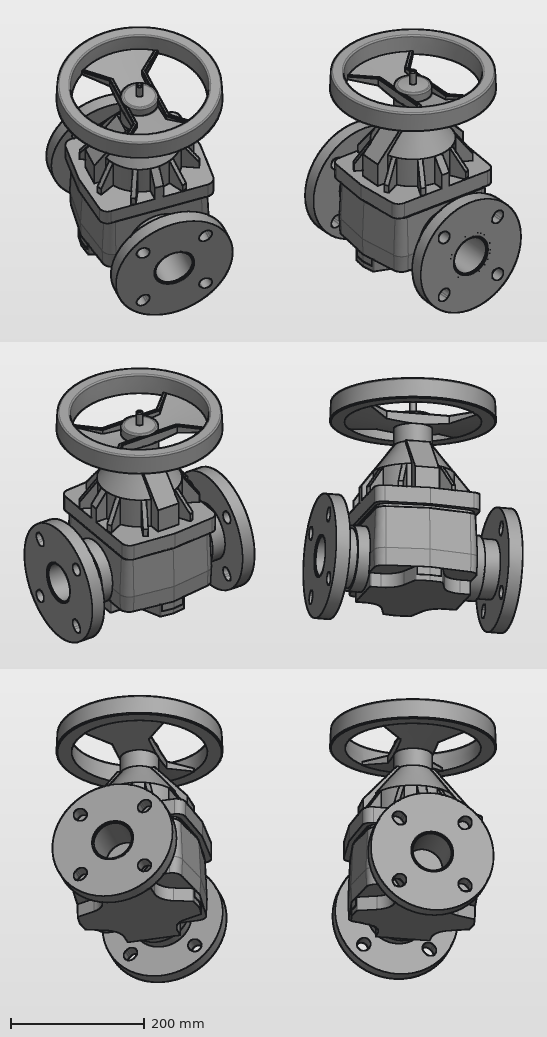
import cadquery as cq
import math


overall_height = 348.5

face_x = 145.0
bore_d = 59.0
bore_end_x = 76.7
spigot_d = 75.0
collar_d = 99.5
collar_end_x = 98.5
flange_d = 188.0
flange_t = 21.5
flange_hub_d = 90.5
flange_bore_d = 64.0
flange_lip = 2.0
bolt_slot_w = 19.0
bolt_circle_min = 138.8
bolt_circle_max = 145.0
bolt_count = 4

body_half_x = 80.5
body_corner_y = 84.0
body_apex_y = 95.2
body_corner_r = 16.7
parting_z = -5.2
block_top_z = 60.0
block_bottom_z = -33.0
draft = 2.5

foot_bottom_z = -54.7
foot_half_x = 78.0
foot_corner_y = 82.3
foot_apex_y = 93.5
foot_corner_r = 14.0
foot_edge_r = 1.0
panel_w = 37.3
panel_bottom_z = -45.5
panel_proud = 0.7
scallop_r = 32.0
scallop_x = 61.7
scallop_y = 73.2
arm_slant = 20.0

rim_half_x = 76.7
rim_corner_y = 81.5
rim_apex_y = 90.0
rim_corner_r = 17.5

plate_bottom_z = 64.5
plate_top_z = 90.0
plate_half_x = 82.0
plate_corner_y = 90.5
plate_apex_y = 98.0
plate_corner_r = 14.0
cone_bottom_z = 137.5
cone_top_z = 183.5
cone_bottom_r = 63.8
neck_d = 58.2
neck_top_z = 210.5
rib_t = 7.5
rib_reach = 90.3
rib_angles = (27.0, 63.0)
end_rib_t = 14.0
side_block_w = 37.0
side_block_reach = 80.0
side_block_shoulder_z = 127.5

wheel_bottom_z = 221.7
wheel_top_z = 253.8
wheel_bottom_d = 249.5
wheel_top_d = 247.0
wheel_inner_bottom_d = 203.5
wheel_inner_top_d = 208.5
wheel_round = 2.5
wheel_bottom_chamfer = 1.7
dish_slope = 0.15
web_t = 5.2
spoke_rib_t = 5.5
spoke_rib_top_z = 227.3
spoke_rib_chamfer = 1.0
spoke_embed = 1.0
spoke_half_y = 28.5
spoke_kink_x = 48.8
wheel_hub_d = 56.0
wheel_hub_top_z = 230.8
wheel_hub_round = 2.0
cap_d = 47.0
cap_slope = 0.1
pin_d = 10.0
pin_top_z = overall_height - flange_d / 2
pin_chamfer = 2.0


def x_cylinder(diameter, start_x, end_x):
    """Cylinder on the pipe axis from start_x to end_x."""
    return cq.Workplane("YZ", origin=(start_x, 0, 0)).circle(diameter / 2).extrude(end_x - start_x)


def pointed_block(half_x, corner_y, apex_y, corner_r, start_z, height, taper=0.0):
    """Block with rounded corners whose +Y and -Y sides rise to a shallow point in the middle."""
    slope = math.atan((apex_y - corner_y) / half_x)
    tangent = corner_r * math.tan((math.pi / 2 - slope) / 2)
    middle = cq.Vector(half_x - corner_r, corner_y - tangent)
    flank = middle + cq.Vector(math.sin(slope), math.cos(slope)) * corner_r
    bisector = math.pi / 4 - slope / 2
    crown = middle + cq.Vector(math.sin(bisector), math.cos(bisector)) * corner_r
    return (
        cq.Workplane("XY", origin=(0, 0, start_z))
        .moveTo(half_x, -middle.y)
        .lineTo(half_x, middle.y)
        .threePointArc((crown.x, crown.y), (flank.x, flank.y))
        .lineTo(0, apex_y)
        .lineTo(-flank.x, flank.y)
        .threePointArc((-crown.x, crown.y), (-half_x, middle.y))
        .lineTo(-half_x, -middle.y)
        .threePointArc((-crown.x, -crown.y), (-flank.x, -flank.y))
        .lineTo(0, -apex_y)
        .lineTo(flank.x, -flank.y)
        .threePointArc((crown.x, -crown.y), (half_x, -middle.y))
        .close()
        .extrude(height, taper=taper)
    )


def foot_scallop(side_x, side_y):
    """Corner cut that leaves the foot as a cross with concave inner corners."""
    slant = math.radians(arm_slant)
    half_way = (math.pi / 2 + slant) / 2
    wall_x = scallop_x - scallop_r * math.cos(slant)
    wall_y = scallop_y - scallop_r * math.sin(slant)
    outside = foot_apex_y + 7
    outside_x = wall_x - (outside - wall_y) * math.tan(slant)
    inner_y = scallop_y - scallop_r
    return (
        cq.Workplane("XY", origin=(0, 0, foot_bottom_z))
        .moveTo(side_x * outside, side_y * inner_y)
        .lineTo(side_x * scallop_x, side_y * inner_y)
        .threePointArc(
            (
                side_x * (scallop_x - scallop_r * math.cos(half_way)),
                side_y * (scallop_y - scallop_r * math.sin(half_way)),
            ),
            (side_x * wall_x, side_y * wall_y),
        )
        .lineTo(side_x * outside_x, side_y * outside)
        .lineTo(side_x * outside, side_y * outside)
        .close()
        .extrude(block_bottom_z - foot_bottom_z)
    )


def is_arm_corner(edge):
    """True for the upright edges where the end of a foot arm meets the sides of the arm."""
    place = edge.Center()
    on_x_arm = abs(place.x) > foot_half_x - foot_edge_r
    on_y_arm = abs(place.y) > foot_corner_y and abs(place.x) > foot_edge_r
    return on_x_arm or on_y_arm


def make_foot():
    """Cross-shaped foot with a raised panel on the end of each arm."""
    height = block_bottom_z - foot_bottom_z
    foot = pointed_block(foot_half_x, foot_corner_y, foot_apex_y, foot_corner_r, foot_bottom_z, height)
    for side_x in (-1, 1):
        for side_y in (-1, 1):
            foot = foot.cut(foot_scallop(side_x, side_y))
    foot = foot.edges("|Z").filter(is_arm_corner).fillet(foot_edge_r)

    panel_height = block_bottom_z - panel_bottom_z
    panels = pointed_block(
        foot_half_x + panel_proud,
        foot_corner_y + panel_proud,
        foot_apex_y + panel_proud,
        foot_corner_r,
        panel_bottom_z,
        panel_height,
    )
    length = 3 * foot_apex_y
    strips = cq.Workplane("XY", origin=(0, 0, panel_bottom_z)).rect(panel_w, length).extrude(panel_height)
    strips = strips.union(strips.rotate((0, 0, 0), (0, 0, 1), 90))
    return foot.union(panels.intersect(strips))


def make_body():
    """Drafted valve block with its foot, rim, pipe collars, spigots and blind bores."""
    outline = (body_half_x, body_corner_y, body_apex_y, body_corner_r, parting_z)
    body = pointed_block(*outline, block_top_z - parting_z, draft)
    body = body.union(pointed_block(*outline, block_bottom_z - parting_z, draft))
    body = body.union(make_foot())
    rim_height = plate_bottom_z - block_top_z
    body = body.union(
        pointed_block(rim_half_x, rim_corner_y, rim_apex_y, rim_corner_r, block_top_z, rim_height)
    )
    spigot_end_x = face_x - flange_lip
    body = body.union(x_cylinder(collar_d, -collar_end_x, collar_end_x))
    body = body.union(x_cylinder(spigot_d, -spigot_end_x, spigot_end_x))
    for side in (-1, 1):
        body = body.cut(x_cylinder(bore_d, side * bore_end_x, side * face_x))
    return body


def bolt_slot(angle):
    """Radial slot through the flange plate that serves two bolt circles."""
    length = (bolt_circle_max - bolt_circle_min) / 2 + bolt_slot_w
    return (
        cq.Workplane("YZ", origin=(face_x - flange_t, 0, 0))
        .transformed(rotate=(0, 0, angle))
        .center((bolt_circle_max + bolt_circle_min) / 4, 0)
        .slot2D(length, bolt_slot_w)
        .extrude(flange_t)
    )


def make_flange(turn):
    """Flange with a socket hub, turned about the stem axis to its end of the pipe."""
    flange = x_cylinder(flange_d, face_x - flange_t, face_x)
    flange = flange.union(x_cylinder(flange_hub_d, collar_end_x, face_x))
    flange = flange.cut(x_cylinder(spigot_d, collar_end_x, face_x - flange_lip))
    flange = flange.cut(x_cylinder(flange_bore_d, collar_end_x, face_x))
    for index in range(bolt_count):
        flange = flange.cut(bolt_slot(45 + index * 360 / bolt_count))
    return flange.rotate((0, 0, 0), (0, 0, 1), turn)


def bonnet_rib(top_r, top_z, reach, shoulder_z, thickness, angle):
    """Radial rib that slopes from the tower at (top_r, top_z) down to a vertical outer end."""
    return (
        cq.Workplane("XZ", origin=(0, thickness / 2, 0))
        .moveTo(0, plate_top_z)
        .lineTo(reach, plate_top_z)
        .lineTo(reach, shoulder_z)
        .lineTo(top_r, top_z)
        .lineTo(0, top_z)
        .close()
        .extrude(thickness)
        .rotate((0, 0, 0), (0, 0, 1), angle)
    )


def make_bonnet():
    """Cover plate with a conical tower, two wide side blocks and radial ribs."""
    bonnet = pointed_block(
        plate_half_x,
        plate_corner_y,
        plate_apex_y,
        plate_corner_r,
        plate_bottom_z,
        plate_top_z - plate_bottom_z,
    )
    tower = (
        cq.Workplane("XZ")
        .moveTo(0, plate_top_z)
        .lineTo(cone_bottom_r, plate_top_z)
        .lineTo(cone_bottom_r, cone_bottom_z)
        .lineTo(neck_d / 2, cone_top_z)
        .lineTo(neck_d / 2, neck_top_z)
        .lineTo(0, neck_top_z)
        .close()
        .revolve(360, (0, 0, 0), (0, 1, 0))
    )
    bonnet = bonnet.union(tower)
    cone_head = (neck_d / 2, cone_top_z)
    cone_foot = (cone_bottom_r, cone_bottom_z)
    cone_fall = (cone_top_z - cone_bottom_z) / (cone_bottom_r - neck_d / 2)
    end_rib_shoulder_z = cone_top_z - cone_fall * (plate_half_x - neck_d / 2)
    rib_shoulder_z = cone_top_z - cone_fall * (rib_reach - neck_d / 2)
    for turn in (0, 180):
        bonnet = bonnet.union(bonnet_rib(*cone_foot, plate_half_x, end_rib_shoulder_z, end_rib_t, turn))
        bonnet = bonnet.union(
            bonnet_rib(*cone_head, side_block_reach, side_block_shoulder_z, side_block_w, turn + 90)
        )
        for angle in rib_angles:
            for mirrored in (angle, -angle):
                rib = bonnet_rib(*cone_foot, rib_reach, rib_shoulder_z, rib_t, turn + mirrored)
                bonnet = bonnet.union(rib)
    return bonnet


def dish_z(radius):
    """Height of the underside of the dished web."""
    return neck_top_z + dish_slope * max(0.0, radius - neck_d / 2)


def spoke_prism(inset, start_z, end_z, taper=0.0):
    """Hourglass prism: straight past the hub, then opening at 45 degrees towards the wheel rim."""
    half_y = spoke_half_y - inset
    kink_x = spoke_kink_x + inset * math.tan(math.pi / 8)
    end_x = wheel_bottom_d / 2
    end_y = half_y + end_x - kink_x
    right_side = [(end_x, -end_y), (end_x, end_y), (kink_x, half_y)]
    left_side = [(-x, -y) for x, y in right_side]
    outline = [(kink_x, -half_y), *right_side, (-kink_x, half_y), *left_side]
    base = cq.Workplane("XY", origin=(0, 0, start_z))
    return base.polyline(outline).close().extrude(end_z - start_z, taper=taper)


def make_spokes():
    """Two dished webs, each edged by ribs whose tops lie in one plane."""
    edge_r = wheel_inner_bottom_d / 2 + spoke_embed
    flat_r = neck_d / 2
    slab = (
        cq.Workplane("XZ")
        .moveTo(0, neck_top_z)
        .lineTo(flat_r, neck_top_z)
        .lineTo(edge_r, dish_z(edge_r))
        .lineTo(edge_r, spoke_rib_top_z)
        .lineTo(0, spoke_rib_top_z)
        .close()
        .revolve(360, (0, 0, 0), (0, 1, 0))
    )
    hollow = (
        cq.Workplane("XZ")
        .moveTo(0, neck_top_z + web_t)
        .lineTo(flat_r, neck_top_z + web_t)
        .lineTo(edge_r, dish_z(edge_r) + web_t)
        .lineTo(edge_r, wheel_top_z)
        .lineTo(0, wheel_top_z)
        .close()
        .revolve(360, (0, 0, 0), (0, 1, 0))
    )
    outside = spoke_prism(0, neck_top_z, spoke_rib_top_z).faces(">Z").chamfer(spoke_rib_chamfer)
    inside = spoke_prism(spoke_rib_t, neck_top_z, spoke_rib_top_z)
    flare = spoke_prism(spoke_rib_t, spoke_rib_top_z - spoke_rib_chamfer, spoke_rib_top_z, -45)
    spokes = slab.intersect(outside)
    return spokes.cut(hollow.intersect(inside)).cut(hollow.intersect(flare))


def make_wheel():
    """Handwheel with its spokes, hub, shallow conical cap and indicator pin."""
    rim = (
        cq.Workplane("XZ")
        .moveTo(wheel_inner_bottom_d / 2, wheel_bottom_z)
        .lineTo(wheel_bottom_d / 2 - wheel_bottom_chamfer, wheel_bottom_z)
        .lineTo(wheel_bottom_d / 2, wheel_bottom_z + wheel_bottom_chamfer)
        .lineTo(wheel_top_d / 2, wheel_top_z)
        .lineTo(wheel_inner_top_d / 2, wheel_top_z)
        .close()
        .revolve(360, (0, 0, 0), (0, 1, 0))
        .faces(">Z")
        .edges()
        .fillet(wheel_round)
    )
    hub = (
        cq.Workplane("XY", origin=(0, 0, neck_top_z))
        .circle(wheel_hub_d / 2)
        .extrude(wheel_hub_top_z - neck_top_z)
        .faces(">Z")
        .edges()
        .fillet(wheel_hub_round)
    )
    cap = (
        cq.Workplane("XZ")
        .moveTo(0, wheel_hub_top_z)
        .lineTo(cap_d / 2, wheel_hub_top_z)
        .lineTo(0, wheel_hub_top_z + cap_slope * cap_d / 2)
        .close()
        .revolve(360, (0, 0, 0), (0, 1, 0))
    )
    pin = (
        cq.Workplane("XY", origin=(0, 0, wheel_hub_top_z))
        .circle(pin_d / 2)
        .extrude(pin_top_z - wheel_hub_top_z)
        .faces(">Z")
        .chamfer(pin_chamfer)
    )
    return rim.union(make_spokes()).union(hub).union(cap).union(pin)


body = make_body()
flanges = [make_flange(turn) for turn in (0, 180)]
bonnet = make_bonnet()
wheel = make_wheel()

result = cq.Compound.makeCompound(
    [body.val(), *[flange.val() for flange in flanges], bonnet.val(), wheel.val()]
)